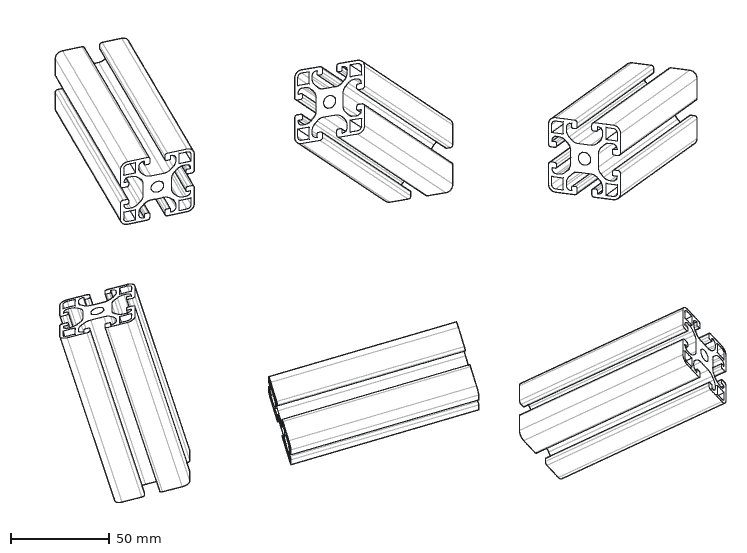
import cadquery as cq
import math

length = 100.0
width = 40.0
half_width = width / 2
corner_radius = 4.0
side_count = 4

mouth_half_width = 4.0
lip_inner_half_width = 7.1
cavity_half_width = 10.0
floor_height = 7.7
lip_depth = 4.5
lip_thickness = 2.0
lip_bottom_height = half_width - lip_depth
cavity_top_height = half_width - lip_thickness
mouth_radius = 1.5
lip_inner_radius = 0.6
lip_mouth_radius = 1.0
cavity_top_radius = 2.5
flank_radius = 5.0

web_thickness = 3.0
flank_offset = web_thickness / math.sqrt(2)
floor_half_width = floor_height - flank_offset
wall_foot_height = cavity_half_width + flank_offset

pocket_wall = 1.8
pocket_size = 6.4
pocket_radius = corner_radius - pocket_wall
bore_diameter = 6.8


def rotated(point, side):
    """Turn a (y, z) point about the profile centre onto the given side."""
    angle = side * 2 * math.pi / side_count
    y, z = point
    return (
        y * math.cos(angle) - z * math.sin(angle),
        y * math.sin(angle) + z * math.cos(angle),
    )


def round_edges(body, points, radius):
    """Fillet the lengthwise edges passing through the given (y, z) points."""
    edges = []
    for y, z in points:
        nearest = cq.NearestToPointSelector((length / 2, y, z))
        edges.append(body.edges("|X").edges(nearest).val())
    return body.newObject(edges).fillet(radius)


def slot_cutter():
    """T-slot opening upwards, with its cavity and lips rounded."""
    right_side = [
        (floor_half_width, floor_height),
        (cavity_half_width, wall_foot_height),
        (cavity_half_width, cavity_top_height),
        (lip_inner_half_width, cavity_top_height),
        (lip_inner_half_width, lip_bottom_height),
        (mouth_half_width, lip_bottom_height),
        (mouth_half_width, half_width),
    ]
    left_side = [(-y, z) for y, z in reversed(right_side)]
    cutter = cq.Workplane("YZ").polyline(right_side + left_side).close().extrude(length)

    corner_radii = [
        (floor_half_width, floor_height, flank_radius),
        (cavity_half_width, wall_foot_height, flank_radius),
        (cavity_half_width, cavity_top_height, cavity_top_radius),
        (lip_inner_half_width, lip_bottom_height, lip_inner_radius),
        (mouth_half_width, lip_bottom_height, lip_mouth_radius),
    ]
    for y, z, radius in corner_radii:
        cutter = round_edges(cutter, [(y, z), (-y, z)], radius)
    return cutter


def pocket_cutter():
    """Square corner pocket with only its outermost corner rounded."""
    outer = half_width - pocket_wall
    center = outer - pocket_size / 2
    pocket = cq.Workplane("YZ").center(center, center).rect(pocket_size, pocket_size).extrude(length)
    return round_edges(pocket, [(outer, outer)], pocket_radius)


def cut_on_every_side(body, cutter):
    for side in range(side_count):
        body = body.cut(cutter.rotate((0, 0, 0), (1, 0, 0), side * 360 / side_count))
    return body


profile = cq.Workplane("YZ").rect(width, width).extrude(length)
profile = profile.edges("|X").fillet(corner_radius)
profile = cut_on_every_side(profile, slot_cutter())
profile = cut_on_every_side(profile, pocket_cutter())

mouth_edges = [
    rotated((across, half_width), side)
    for side in range(side_count)
    for across in (-mouth_half_width, mouth_half_width)
]
profile = round_edges(profile, mouth_edges, mouth_radius)

bore = cq.Workplane("YZ").circle(bore_diameter / 2).extrude(length)
result = profile.cut(bore)